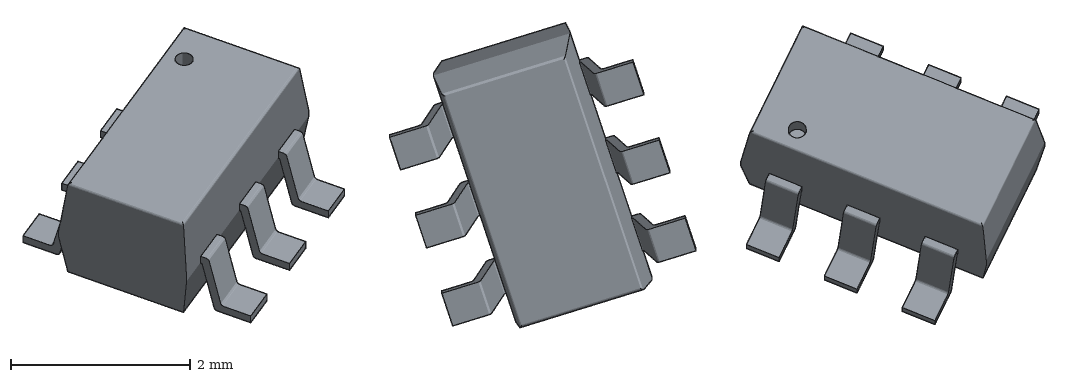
import cadquery as cq
import math

body_width = 1.6
body_length = 3.0
lead_span = 2.85
overall_height = 1.45

body_bottom = 0.065
band_top = 0.753
band_height = 0.1
band_bottom = band_top - band_height
rim_inset = 0.078
top_edge_radius = 0.04
bottom_edge_radius = 0.04

leads_per_side = 3
lead_pitch = 0.95
lead_width = 0.4
lead_thickness = 0.105
leg_lean = 13.7
shoulder_length = 0.1
bend_radius = 0.045
shoulder_inner_radius = 0.015

mark_diameter = 0.2
mark_depth = mark_diameter
mark_x = -0.48
mark_y = lead_pitch


def drafted_half(start_height, height):
    """Rectangular block that grows from start_height and narrows by rim_inset on each side."""
    draft = math.degrees(math.atan(rim_inset / height))
    return (
        cq.Workplane("XY")
        .workplane(offset=start_height)
        .rect(body_width, body_length)
        .extrude(height, taper=draft)
    )


def make_body():
    """Moulded body with rounded top and bottom rims and a round pin-one mark."""
    band = (
        cq.Workplane("XY")
        .workplane(offset=band_bottom)
        .rect(body_width, body_length)
        .extrude(band_height)
    )
    upper = drafted_half(band_top, overall_height - band_top)
    lower = drafted_half(-band_bottom, band_bottom - body_bottom).mirror("XY")
    upper = upper.faces(">Z").edges().fillet(top_edge_radius)
    lower = lower.faces("<Z").edges().fillet(bottom_edge_radius)
    mark = (
        cq.Workplane("XY")
        .workplane(offset=overall_height - mark_depth)
        .center(mark_x, mark_y)
        .circle(mark_diameter / 2)
        .extrude(mark_depth)
    )
    return band.union(upper).union(lower).cut(mark)


def make_lead(y_center):
    """Gull-wing lead on the +X side, ending flush against the body side."""
    root_x = body_width / 2
    toe_x = lead_span / 2
    shoulder_x = root_x + shoulder_length
    heel_x = shoulder_x + (band_top - lead_thickness) * math.tan(math.radians(leg_lean))
    corner_shift = lead_thickness * math.tan(math.radians((90 - leg_lean) / 2))

    lead = (
        cq.Workplane("XZ", origin=(0, y_center + lead_width / 2, 0))
        .moveTo(root_x, band_top)
        .lineTo(shoulder_x, band_top)
        .lineTo(heel_x, lead_thickness)
        .lineTo(toe_x, lead_thickness)
        .lineTo(toe_x, 0)
        .lineTo(heel_x - corner_shift, 0)
        .lineTo(shoulder_x - corner_shift, band_top - lead_thickness)
        .lineTo(root_x, band_top - lead_thickness)
        .close()
        .extrude(lead_width)
    )

    def bend_edge(x, z):
        """Selector for the bend edge that crosses the lead at (x, z)."""
        return cq.selectors.NearestToPointSelector((x, y_center, z))

    bends = (
        lead.edges(bend_edge(shoulder_x, band_top))
        .add(lead.edges(bend_edge(heel_x, lead_thickness)))
        .add(lead.edges(bend_edge(heel_x - corner_shift, 0)))
    )
    lead = bends.fillet(bend_radius)
    inner_shoulder = bend_edge(shoulder_x - corner_shift, band_top - lead_thickness)
    return lead.edges(inner_shoulder).fillet(shoulder_inner_radius)


body = make_body()

leads = []
for index in range(leads_per_side):
    y_center = (index - (leads_per_side - 1) / 2) * lead_pitch
    right_lead = make_lead(y_center)
    leads.append(right_lead.val())
    leads.append(right_lead.mirror("YZ").val())

result = cq.Compound.makeCompound([body.val(), *leads])